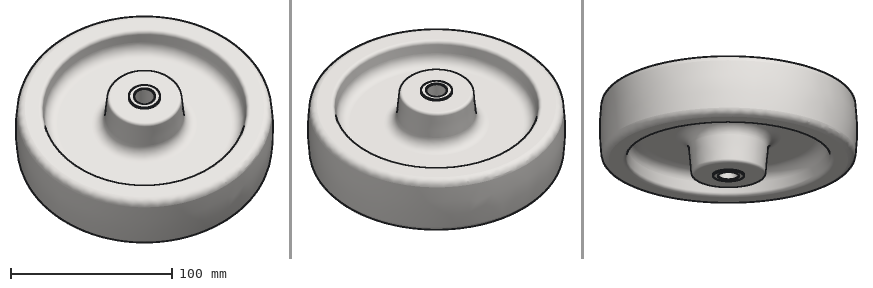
import cadquery as cq
import math

tread_radius = 79.9
shoulder_radius = 78.5
rim_half_width = 20.0
shoulder_fillet = 4.8

lip_radius = 63.4
rim_draft = 9.0
lip_fillet = 2.5
web_half_thickness = 5.1
web_fillet = 8.0

hub_top_radius = 23.0
hub_half_length = 30.2
hub_draft = 5.0
hub_top_fillet = 1.9

bush_radius = 9.9
bush_half_length = 31.0
bore_radius = 6.2
bush_chamfer = 0.5

rim_root_radius = lip_radius - (rim_half_width - web_half_thickness) * math.tan(math.radians(rim_draft))
hub_root_radius = hub_top_radius + (hub_half_length - web_half_thickness) * math.tan(math.radians(hub_draft))


def make_wheel():
    """Revolve the rim, web and hub, with sharp corners, about Z."""
    upper_points = [
        (shoulder_radius, rim_half_width),
        (lip_radius, rim_half_width),
        (rim_root_radius, web_half_thickness),
        (hub_root_radius, web_half_thickness),
        (hub_top_radius, hub_half_length),
        (0, hub_half_length),
    ]
    lower_points = [(radius, -height) for radius, height in reversed(upper_points)]
    profile = cq.Workplane("XZ").polyline(upper_points + lower_points)
    profile = profile.threePointArc((tread_radius, 0), upper_points[0]).close()
    return profile.revolve(360, (0, 0, 0), (0, 1, 0))


def fillet_circles(body, radius, height, fillet):
    """Round the matching circular edges on both sides of the wheel."""
    tolerance = 0.02

    def matches(edge):
        return (
            edge.geomType() == "CIRCLE"
            and abs(edge.radius() - radius) < tolerance
            and abs(abs(edge.Center().z) - height) < tolerance
        )

    return body.newObject([edge for edge in body.edges().vals() if matches(edge)]).fillet(fillet)


def make_bush():
    """Bearing bush that stands slightly proud of both hub faces."""
    blank = cq.Workplane("XY").circle(bush_radius).extrude(bush_half_length, both=True)
    return blank.faces("<Z or >Z").edges().chamfer(bush_chamfer)


def make_bore():
    """Through bore with a small chamfer at each mouth."""
    mouth_radius = bore_radius + bush_chamfer
    chamfer_start = bush_half_length - bush_chamfer
    return (
        cq.Workplane("XZ")
        .moveTo(0, -bush_half_length)
        .lineTo(mouth_radius, -bush_half_length)
        .lineTo(bore_radius, -chamfer_start)
        .lineTo(bore_radius, chamfer_start)
        .lineTo(mouth_radius, bush_half_length)
        .lineTo(0, bush_half_length)
        .close()
        .revolve(360, (0, 0, 0), (0, 1, 0))
    )


wheel = make_wheel()
wheel = fillet_circles(wheel, shoulder_radius, rim_half_width, shoulder_fillet)
wheel = fillet_circles(wheel, lip_radius, rim_half_width, lip_fillet)
wheel = fillet_circles(wheel, rim_root_radius, web_half_thickness, web_fillet)
wheel = fillet_circles(wheel, hub_root_radius, web_half_thickness, web_fillet)
wheel = fillet_circles(wheel, hub_top_radius, hub_half_length, hub_top_fillet)

result = wheel.union(make_bush()).cut(make_bore())